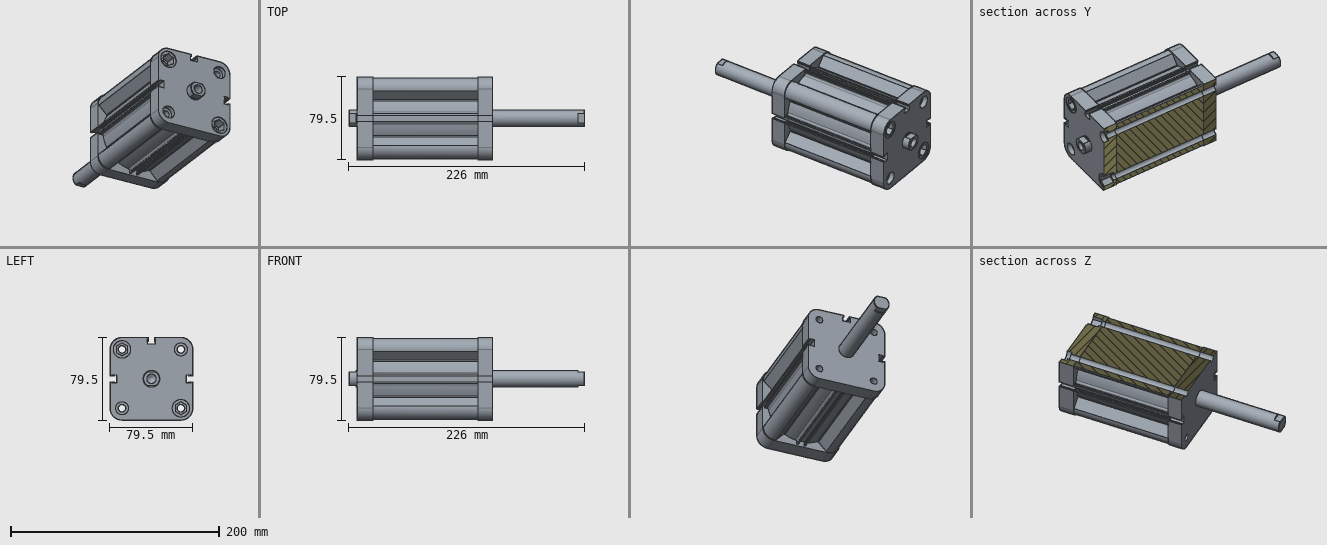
import cadquery as cq
import math

rod_length = 226.0
stub_length = 7.7
rear_cap_length = 15.1
tube_length = 100.5
front_cap_length = 14.2
rear_cap_start = stub_length
tube_start = rear_cap_start + rear_cap_length
front_cap_start = tube_start + tube_length

cap_width = 79.5
cap_half = cap_width / 2
bolt_offset = 28.2
cap_corner_radius = cap_half - bolt_offset

bolt_hole_diameter = 7.0
round_seat_diameter = 12.5
round_seat_depth = 5.2
hex_across_flats = 10.8
hex_depth = 11.3
hex_rim_diameter = 16.7
hex_rim_depth = 0.7
bolt_centres = [(y, z) for y in (-bolt_offset, bolt_offset) for z in (-bolt_offset, bolt_offset)]

slot_mouth_half = 3.0
slot_depth = 6.3
slot_floor = cap_half - slot_depth
cap_slot_lip = 2.0
cap_slot_inner_half = 3.8
tube_slot_lip = 2.3
tube_slot_inner_half = 3.6

post_radius = 10.6
post_overhang = 2.0
post_edge = bolt_offset - post_overhang
post_edge_height = bolt_offset + math.sqrt(post_radius**2 - post_overhang**2)
channel_edge = 18.0
channel_height = 29.8
barrel_edge = 16.7
barrel_radius = math.hypot(barrel_edge, channel_height)
rail_half = 4.5
rail_top = 38.0
rail_fillet = 1.5

rod_diameter = 16.0
flat_spacing = 13.0
stub_flat_length = 6.5
front_flat_length = 6.3
rod_chamfer = 0.5
rod_hole_diameter = 9.0
rod_hole_depth = 18.0
drill_tip_angle = 118.0

TOP, RIGHT, BOTTOM, LEFT = range(4)


def section_plane(x):
    """Workplane across the axis at x, with Y to the right and Z up."""
    return cq.Workplane("YZ", origin=(x, 0, 0))


def on_side(side, across, height):
    """(Y, Z) of a point given along a side of the section and by its height above the axis."""
    angle = -side * math.pi / 2
    y = across * math.cos(angle) - height * math.sin(angle)
    z = across * math.sin(angle) + height * math.cos(angle)
    return (y, z)


def barrel_height(across):
    return math.sqrt(barrel_radius**2 - across**2)


def cut_holes(body, centres, diameter, start, length):
    return body.cut(section_plane(start).pushPoints(centres).circle(diameter / 2).extrude(length))


def t_slot(side, start, length):
    """Solid that cuts a T-slot into one side of a cap."""
    half_outline = [
        (slot_mouth_half, cap_half),
        (slot_mouth_half, cap_half - cap_slot_lip),
        (cap_slot_inner_half, cap_half - cap_slot_lip),
        (cap_slot_inner_half, slot_floor),
    ]
    mirrored = [(-across, height) for across, height in reversed(half_outline)]
    outline = [on_side(side, *point) for point in half_outline + mirrored]
    return section_plane(start).polyline(outline).close().extrude(length)


def make_cap(start, length):
    cap = section_plane(start).rect(cap_width, cap_width).extrude(length)
    cap = cap.edges("|X").fillet(cap_corner_radius)
    for side in (TOP, RIGHT, LEFT):
        cap = cap.cut(t_slot(side, start, length))
    cap = cut_holes(cap, bolt_centres, bolt_hole_diameter, start, length)
    return cut_holes(cap, [(0, 0)], rod_diameter, start, length)


def make_rear_cap():
    cap = make_cap(rear_cap_start, rear_cap_length)
    round_centres = [(y, z) for y, z in bolt_centres if y != z]
    hex_centres = [(y, z) for y, z in bolt_centres if y == z]
    cap = cut_holes(cap, round_centres, round_seat_diameter, rear_cap_start, round_seat_depth)
    cap = cut_holes(cap, hex_centres, hex_rim_diameter, rear_cap_start, hex_rim_depth)
    hex_corner_radius = hex_across_flats / math.sqrt(3)
    hex_corners = [
        (hex_corner_radius * math.sin(turn), hex_corner_radius * math.cos(turn))
        for turn in (corner * math.pi / 3 for corner in range(6))
    ]
    for y, z in hex_centres:
        seat = section_plane(rear_cap_start).center(y, z).polyline(hex_corners).close().extrude(hex_depth)
        cap = cap.cut(seat)
    return cap


def draw_tube_side(sketch, side):
    """Continue the tube outline along one side, from one corner post to the next."""
    def at(across, height):
        return on_side(side, across, height)

    fillet_start = rail_half + rail_fillet
    fillet_start_height = barrel_height(fillet_start)
    fillet_end_height = fillet_start_height + rail_fillet
    fillet_sag = rail_fillet * (1 - math.sqrt(0.5))
    fillet_middle = (rail_half + fillet_sag, fillet_start_height + fillet_sag)
    barrel_middle = (barrel_edge + fillet_start) / 2
    slot_ceiling = rail_top - tube_slot_lip

    sketch = sketch.lineTo(*at(-channel_edge, channel_height))
    sketch = sketch.lineTo(*at(-barrel_edge, channel_height))
    sketch = sketch.threePointArc(
        at(-barrel_middle, barrel_height(barrel_middle)), at(-fillet_start, fillet_start_height)
    )
    sketch = sketch.threePointArc(
        at(-fillet_middle[0], fillet_middle[1]), at(-rail_half, fillet_end_height)
    )
    sketch = sketch.lineTo(*at(-rail_half, rail_top))

    slot_points = [
        (-slot_mouth_half, rail_top),
        (-slot_mouth_half, slot_ceiling),
        (-tube_slot_inner_half, slot_ceiling),
        (-tube_slot_inner_half, slot_floor),
        (tube_slot_inner_half, slot_floor),
        (tube_slot_inner_half, slot_ceiling),
        (slot_mouth_half, slot_ceiling),
        (slot_mouth_half, rail_top),
        (rail_half, rail_top),
    ]
    for point in slot_points:
        sketch = sketch.lineTo(*at(*point))

    sketch = sketch.lineTo(*at(rail_half, fillet_end_height))
    sketch = sketch.threePointArc(at(*fillet_middle), at(fillet_start, fillet_start_height))
    sketch = sketch.threePointArc(
        at(barrel_middle, barrel_height(barrel_middle)), at(barrel_edge, channel_height)
    )
    sketch = sketch.lineTo(*at(channel_edge, channel_height))
    return sketch.lineTo(*at(post_edge, post_edge_height))


def make_tube():
    post_middle = bolt_offset + post_radius * math.sqrt(0.5)
    sketch = section_plane(tube_start).moveTo(*on_side(TOP, -post_edge, post_edge_height))
    for side in (TOP, RIGHT, BOTTOM, LEFT):
        sketch = draw_tube_side(sketch, side)
        post_end = on_side(side, post_edge_height, post_edge)
        sketch = sketch.threePointArc(on_side(side, post_middle, post_middle), post_end)
    tube = sketch.close().extrude(tube_length)
    tube = cut_holes(tube, bolt_centres, bolt_hole_diameter, tube_start, tube_length)
    return cut_holes(tube, [(0, 0)], rod_diameter, tube_start, tube_length)


def wrench_flats(start, length):
    """Solid that cuts a pair of flats, facing up and down, into the rod."""
    block = section_plane(start).rect(rod_diameter, rod_diameter).extrude(length)
    return block.cut(section_plane(start).rect(rod_diameter, flat_spacing).extrude(length))


def make_rod():
    rod = section_plane(0).circle(rod_diameter / 2).extrude(rod_length)
    rod = rod.faces("<X or >X").chamfer(rod_chamfer)
    rod = rod.cut(wrench_flats(0, stub_flat_length))
    rod = rod.cut(wrench_flats(rod_length - front_flat_length, front_flat_length))

    hole_radius = rod_hole_diameter / 2
    tip_length = hole_radius / math.tan(math.radians(drill_tip_angle / 2))
    hole_outline = [
        (0, 0),
        (0, hole_radius),
        (rod_hole_depth, hole_radius),
        (rod_hole_depth + tip_length, 0),
    ]
    hole = cq.Workplane("XY").polyline(hole_outline).close().revolve(360, (0, 0, 0), (1, 0, 0))
    return rod.cut(hole)


rear_cap = make_rear_cap()
tube = make_tube()
front_cap = make_cap(front_cap_start, front_cap_length)
rod = make_rod()

result = cq.Compound.makeCompound([rear_cap.val(), tube.val(), front_cap.val(), rod.val()])